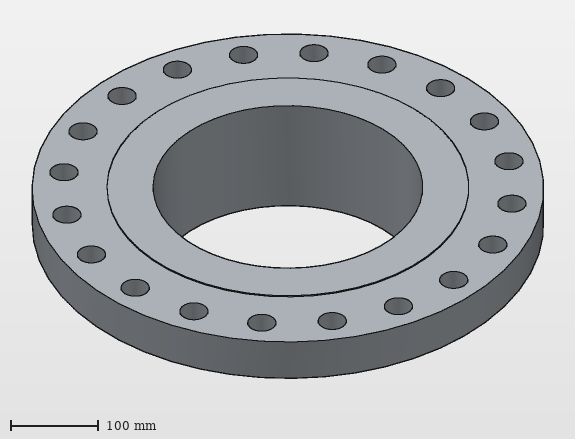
import cadquery as cq
import math

flange_diameter = 584.0
overall_height = 143.0
flange_thickness = 54.0
raised_face_diameter = 413.0
raised_face_height = 1.6

bore_diameter = 308.0
hub_base_diameter = 424.0
neck_diameter = 356.0
neck_length = 21.5
bevel_height = 14.5
weld_end_diameter = 312.0
hub_fillet_radius = 11.5

bolt_count = 20
bolt_circle_diameter = 514.5
bolt_hole_diameter = 32.0

flange_bottom = overall_height - flange_thickness
flange_top = overall_height - raised_face_height


def make_body():
    """Revolve the half section of the flange, hub and filleted hub root about Z."""
    bore_radius = bore_diameter / 2
    neck_radius = neck_diameter / 2
    hub_base_radius = hub_base_diameter / 2

    cone_angle = math.atan2(hub_base_radius - neck_radius, flange_bottom - neck_length)
    corner_angle = math.pi / 2 + cone_angle
    tangent_length = hub_fillet_radius / math.tan(corner_angle / 2)
    fillet_on_cone = (
        hub_base_radius - tangent_length * math.sin(cone_angle),
        flange_bottom - tangent_length * math.cos(cone_angle),
    )
    fillet_center = (hub_base_radius + tangent_length, flange_bottom - hub_fillet_radius)
    fillet_on_plate = (fillet_center[0], flange_bottom)
    middle_angle = math.pi / 2 + (math.pi - corner_angle) / 2
    fillet_middle = (
        fillet_center[0] + hub_fillet_radius * math.cos(middle_angle),
        fillet_center[1] + hub_fillet_radius * math.sin(middle_angle),
    )

    section = (
        cq.Workplane("XZ")
        .moveTo(bore_radius, 0)
        .lineTo(weld_end_diameter / 2, 0)
        .lineTo(neck_radius, bevel_height)
        .lineTo(neck_radius, neck_length)
        .lineTo(*fillet_on_cone)
        .threePointArc(fillet_middle, fillet_on_plate)
        .lineTo(flange_diameter / 2, flange_bottom)
        .lineTo(flange_diameter / 2, flange_top)
        .lineTo(raised_face_diameter / 2, flange_top)
        .lineTo(raised_face_diameter / 2, overall_height)
        .lineTo(bore_radius, overall_height)
        .close()
    )
    return section.revolve(360, (0, 0), (0, 1))


def make_bolt_holes():
    """Cylinders on the bolt circle, the first one on the +X axis."""
    return (
        cq.Workplane("XY")
        .polarArray(bolt_circle_diameter / 2, 0, 360, bolt_count)
        .circle(bolt_hole_diameter / 2)
        .extrude(overall_height)
    )


result = make_body().cut(make_bolt_holes())